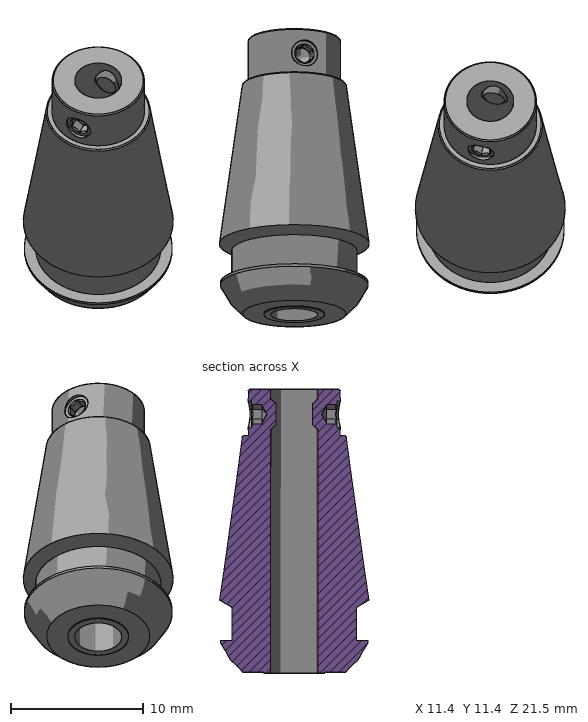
import cadquery as cq
import math

total_height = 21.5
shoulder_height = 18.0
groove_top = 5.0
groove_bottom = 2.5
rim_bottom = 2.3
foot_break = 1.04
end_boss_height = 0.08

neck_diameter = 7.0
shoulder_diameter = 7.9
body_diameter = 11.355
groove_diameter = 9.5
rim_diameter = 11.2
foot_break_diameter = 9.74
foot_diameter = 7.8
end_boss_diameter = 4.6
bore_diameter = 3.55

undercut_angle = 30.0
edge_chamfer = 0.1

screw_height = 19.6
screw_diameter = 2.5
screw_hole_diameter = 2.01
screw_outer_face = 3.25
screw_tip = 1.375
tip_chamfer = 0.45
hex_half_angle = 30.0
socket_across_flats = 1.27
socket_depth = 0.8
socket_cone_depth = 0.37
socket_lead_in_diameter = 1.52


def make_body():
    """Turned body with neck, tapered sleeve, groove and foot."""
    neck_r = neck_diameter / 2
    shoulder_r = shoulder_diameter / 2
    body_r = body_diameter / 2
    groove_r = groove_diameter / 2
    undercut_rise = (body_r - groove_r) * math.tan(math.radians(undercut_angle))
    profile = (
        cq.Workplane("XZ")
        .moveTo(0, 0)
        .lineTo(end_boss_diameter / 2, 0)
        .lineTo(end_boss_diameter / 2, end_boss_height)
        .lineTo(foot_diameter / 2, end_boss_height)
        .lineTo(foot_break_diameter / 2, foot_break)
        .lineTo(rim_diameter / 2, rim_bottom)
        .lineTo(rim_diameter / 2, groove_bottom)
        .lineTo(groove_r, groove_bottom)
        .lineTo(groove_r, groove_top)
        .lineTo(body_r, groove_top + undercut_rise)
        .lineTo(shoulder_r, shoulder_height - edge_chamfer)
        .lineTo(shoulder_r - edge_chamfer, shoulder_height)
        .lineTo(neck_r, shoulder_height)
        .lineTo(neck_r, total_height - edge_chamfer)
        .lineTo(neck_r - edge_chamfer, total_height)
        .lineTo(0, total_height)
        .close()
    )
    return profile.revolve(360, (0, 0, 0), (0, 1, 0))


def make_bore():
    """Through bore along the part axis."""
    return cq.Workplane("XY").circle(bore_diameter / 2).extrude(total_height)


def make_screw_hole():
    """Screw hole across the neck along Y, with a plain wall."""
    return (
        cq.Workplane("XZ", origin=(0, 0, screw_height))
        .circle(screw_hole_diameter / 2)
        .extrude(neck_diameter / 2, both=True)
    )


def make_screw():
    """Set screw on the -Y side, with a flat tip and a hexagon socket."""
    outer = cq.Workplane("XZ", origin=(0, -screw_outer_face, screw_height))
    shank = (
        outer.circle(screw_diameter / 2)
        .extrude(screw_tip - screw_outer_face)
        .faces(">Y")
        .chamfer(tip_chamfer)
    )
    across_corners = socket_across_flats / math.cos(math.radians(hex_half_angle))
    socket = (
        outer.transformed(rotate=(0, 0, hex_half_angle))
        .polygon(6, across_corners)
        .extrude(-socket_depth)
    )
    half_flats = socket_across_flats / 2
    lead_in_r = socket_lead_in_diameter / 2
    lead_in_depth = lead_in_r - half_flats
    socket_floor = socket_depth - screw_outer_face
    drill = (
        cq.Workplane("XY")
        .moveTo(0, -screw_outer_face)
        .lineTo(lead_in_r, -screw_outer_face)
        .lineTo(half_flats, lead_in_depth - screw_outer_face)
        .lineTo(half_flats, socket_floor)
        .lineTo(0, socket_floor + socket_cone_depth)
        .close()
        .revolve(360, (0, 0, 0), (0, 1, 0))
        .translate((0, 0, screw_height))
    )
    return shank.cut(socket).cut(drill)


front_screw = make_screw()
back_screw = front_screw.mirror("XZ")
result = make_body().cut(make_bore()).cut(make_screw_hole())
result = result.union(front_screw).union(back_screw)